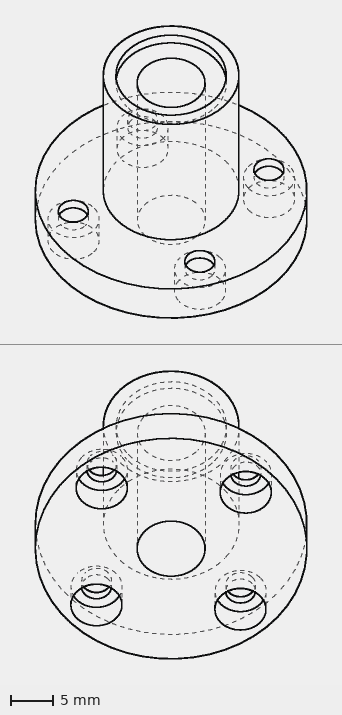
import cadquery as cq

flange_diameter = 32.0
flange_thickness = 5.0
sleeve_diameter = 16.0
total_height = 24.7

bore_diameter = 8.0
recess_diameter = 13.0
recess_depth = 1.3

hole_count = 4
bolt_circle_diameter = 24.0
hole_diameter = 3.52
hole_land = 1.28
counterbore_diameter = 6.0


def cylinder(diameter, bottom, top):
    """Solid cylinder on the Z axis between two heights."""
    return cq.Workplane("XY").workplane(offset=bottom).circle(diameter / 2).extrude(top - bottom)


def screw_hole():
    """Cutting shape for one through hole with its counterbore."""
    shank = cylinder(hole_diameter, 0, flange_thickness)
    head = cylinder(counterbore_diameter, 0, flange_thickness - hole_land)
    return shank.union(head)


flange = cylinder(flange_diameter, 0, flange_thickness)
sleeve = cylinder(sleeve_diameter, 0, total_height)
bore = cylinder(bore_diameter, 0, total_height)
recess = cylinder(recess_diameter, total_height - recess_depth, total_height)
result = flange.union(sleeve).cut(bore).cut(recess)

for index in range(hole_count):
    angle = index * 360 / hole_count
    placed_hole = screw_hole().translate((bolt_circle_diameter / 2, 0, 0))
    result = result.cut(placed_hole.rotate((0, 0, 0), (0, 0, 1), angle))